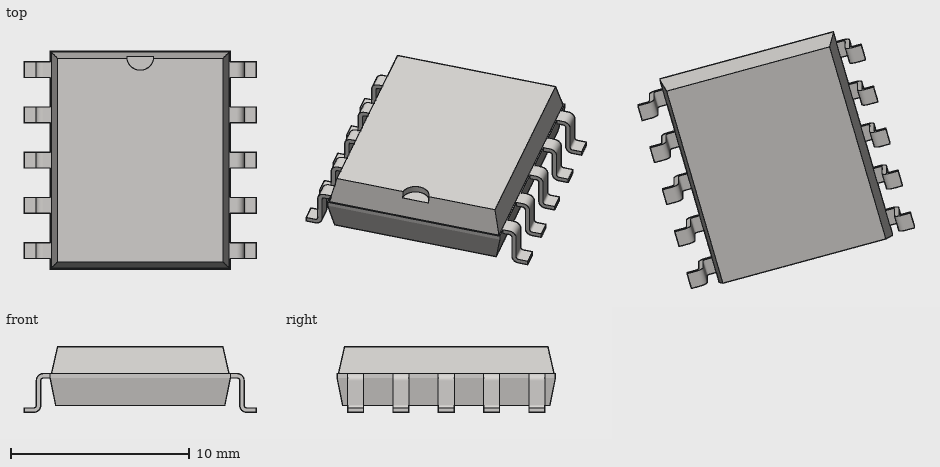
import cadquery as cq

total_span = 13.02
body_width = 10.12
body_length = 12.25
standoff = 0.38

lower_height = 1.55
band_height = 0.26
upper_height = 1.5
underside_inset = 0.31
ledge_inset = 0.08
top_inset = 0.42

notch_radius = 0.75
notch_depth = 0.39

leads_per_side = 5
lead_pitch = 2.54
lead_width = 0.9
lead_thickness = band_height
inner_bend_radius = 0.14
outer_bend_radius = inner_bend_radius + lead_thickness
foot_length = 0.53
lead_embed = 0.52

band_bottom = standoff + lower_height
band_top = band_bottom + band_height
body_top = band_top + upper_height
half_span = total_span / 2
shank_outer_x = half_span - foot_length - inner_bend_radius
shank_inner_x = shank_outer_x - lead_thickness
lead_root_x = body_width / 2 - lead_embed


def body_layer(bottom, height, bottom_inset, upper_inset):
    """Rectangular layer whose two ends are inset from the widest body outline."""
    return (
        cq.Workplane("XY", origin=(0, 0, bottom))
        .rect(body_width - 2 * bottom_inset, body_length - 2 * bottom_inset)
        .workplane(offset=height)
        .rect(body_width - 2 * upper_inset, body_length - 2 * upper_inset)
        .loft(ruled=True)
    )


def make_body():
    """Lower half, straight middle band and upper half, stacked."""
    lower = body_layer(standoff, lower_height, underside_inset, 0)
    band = body_layer(band_bottom, band_height, 0, 0)
    upper = body_layer(band_top, upper_height, ledge_inset, top_inset)
    return lower.union(band).union(upper)


def make_notch():
    """Round cutter centred where the notch floor meets the sloping end face."""
    end_slope = (top_inset - ledge_inset) / upper_height
    centre_y = body_length / 2 - top_inset + notch_depth * end_slope
    return (
        cq.Workplane("XY", origin=(0, centre_y, body_top - notch_depth))
        .circle(notch_radius)
        .extrude(notch_depth)
    )


def make_lead(centre_y):
    """Gull-wing lead on the +X side, bent from a flat strip."""
    return (
        cq.Workplane("XZ", origin=(0, centre_y + lead_width / 2, 0))
        .moveTo(lead_root_x, band_top)
        .lineTo(shank_outer_x - outer_bend_radius, band_top)
        .radiusArc((shank_outer_x, band_top - outer_bend_radius), outer_bend_radius)
        .lineTo(shank_outer_x, lead_thickness + inner_bend_radius)
        .radiusArc((half_span - foot_length, lead_thickness), -inner_bend_radius)
        .lineTo(half_span, lead_thickness)
        .lineTo(half_span, 0)
        .lineTo(half_span - foot_length, 0)
        .radiusArc((shank_inner_x, outer_bend_radius), outer_bend_radius)
        .lineTo(shank_inner_x, band_bottom - inner_bend_radius)
        .radiusArc((shank_inner_x - inner_bend_radius, band_bottom), -inner_bend_radius)
        .lineTo(lead_root_x, band_bottom)
        .close()
        .extrude(lead_width)
    )


result = make_body().cut(make_notch())
for index in range(leads_per_side):
    lead = make_lead((index - (leads_per_side - 1) / 2) * lead_pitch)
    result = result.union(lead).union(lead.mirror("YZ"))